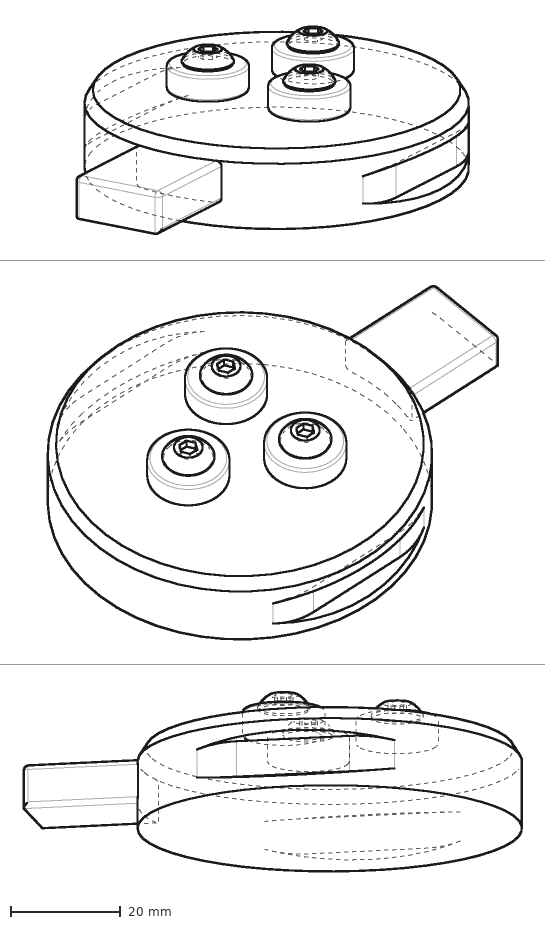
import cadquery as cq
import math

total_length = 90.2

housing_radius = 35.0
housing_height = 15.0
rim_height = 12.5
rim_setback = 1.5

grip_floor_x = 32.0
grip_end_radius = 15.0
grip_mouth_height = 8.4
grip_flank_slope = 0.3
grip_center_z = rim_height / 2

tab_width = 18.2
tab_thickness = 8.0
tab_edge_radius = 1.0
tab_tip_y = housing_radius - total_length

foot_count = 3
bolt_circle_radius = 12.5
foot_radius = 7.5
foot_height = 5.0
foot_edge_radius = 0.5

head_radius = 4.8
head_height = 2.8
head_base_radius = 4.5
head_lip_height = 0.45
head_top_radius = 2.6
socket_across_flats = 3.0
socket_depth = 1.5


def make_grip_cutter():
    """Tapered recess on the +X side with a floor that curves out at both ends."""
    reach = housing_radius + rim_setback
    arc_center_x = grip_floor_x - grip_end_radius
    arc_center_y = math.sqrt((housing_radius - grip_end_radius)**2 - arc_center_x**2)
    end_angle = math.atan2(arc_center_y, arc_center_x)
    end_x = housing_radius * math.cos(end_angle)
    end_y = housing_radius * math.sin(end_angle)
    middle_x = arc_center_x + grip_end_radius * math.cos(end_angle / 2)
    middle_y = arc_center_y + grip_end_radius * math.sin(end_angle / 2)
    plan = (
        cq.Workplane("XY")
        .moveTo(grip_floor_x, -arc_center_y)
        .lineTo(grip_floor_x, arc_center_y)
        .threePointArc((middle_x, middle_y), (end_x, end_y))
        .lineTo(reach, end_y)
        .lineTo(reach, -end_y)
        .lineTo(end_x, -end_y)
        .threePointArc((middle_x, -middle_y), (grip_floor_x, -arc_center_y))
        .close()
        .extrude(rim_height)
    )

    tip_x = housing_radius - grip_mouth_height / 2 / grip_flank_slope
    outer_half = grip_flank_slope * (reach - tip_x)
    wedge = (
        cq.Workplane("XZ")
        .polyline([
            (tip_x, grip_center_z),
            (reach, grip_center_z - outer_half),
            (reach, grip_center_z + outer_half),
        ])
        .close()
        .extrude(housing_radius, both=True)
    )
    return plan.intersect(wedge)


def make_housing():
    """Disc with a sloping upper rim and a grip recess on each side."""
    disc = (
        cq.Workplane("XZ")
        .polyline([
            (0, 0),
            (housing_radius, 0),
            (housing_radius, rim_height),
            (housing_radius - rim_setback, housing_height),
            (0, housing_height),
        ])
        .close()
        .revolve(360, (0, 0, 0), (0, 1, 0))
    )
    grip = make_grip_cutter()
    return disc.cut(grip).cut(grip.mirror("YZ"))


def make_tab():
    """Rounded bar whose inner end follows the round side of the housing."""
    bar = (
        cq.Workplane("XY")
        .box(tab_width, -tab_tip_y, tab_thickness, centered=(True, False, False))
        .translate((0, tab_tip_y, rim_height - tab_thickness))
    )
    bar = bar.edges("|Y or (<Y and |Z) or (<Y and >Z)").fillet(tab_edge_radius)
    housing_side = cq.Workplane("XY").circle(housing_radius).extrude(housing_height)
    return bar.cut(housing_side)


def make_foot():
    """Round foot with rounded top and bottom edges, standing on the housing."""
    return (
        cq.Workplane("XY")
        .circle(foot_radius)
        .extrude(foot_height)
        .edges()
        .fillet(foot_edge_radius)
        .translate((0, 0, housing_height))
    )


def make_screw():
    """Domed screw head with a hexagon socket, seated on a foot."""
    dome_center = (
        (head_top_radius**2 + head_height**2 - head_radius**2 - head_lip_height**2)
        / (2 * (head_height - head_lip_height))
    )
    dome_radius = math.hypot(head_radius, head_lip_height - dome_center)
    middle_radius = (head_radius + head_top_radius) / 2
    middle_height = dome_center + math.sqrt(dome_radius**2 - middle_radius**2)
    head = (
        cq.Workplane("XZ")
        .lineTo(head_base_radius, 0)
        .lineTo(head_radius, head_lip_height)
        .threePointArc((middle_radius, middle_height), (head_top_radius, head_height))
        .lineTo(0, head_height)
        .close()
        .revolve(360, (0, 0, 0), (0, 1, 0))
    )
    socket = (
        cq.Workplane("XY")
        .workplane(offset=head_height - socket_depth)
        .polygon(6, socket_across_flats, circumscribed=True)
        .extrude(socket_depth)
    )
    return head.cut(socket).translate((0, 0, housing_height + foot_height))


housing = make_housing()
tab = make_tab()
feet = []
screws = []
for index in range(foot_count):
    angle = math.radians(90 + index * 360 / foot_count)
    position = (bolt_circle_radius * math.cos(angle), bolt_circle_radius * math.sin(angle), 0)
    feet.append(make_foot().translate(position).val())
    screws.append(make_screw().translate(position).val())

result = cq.Compound.makeCompound([housing.val(), tab.val(), *feet, *screws])